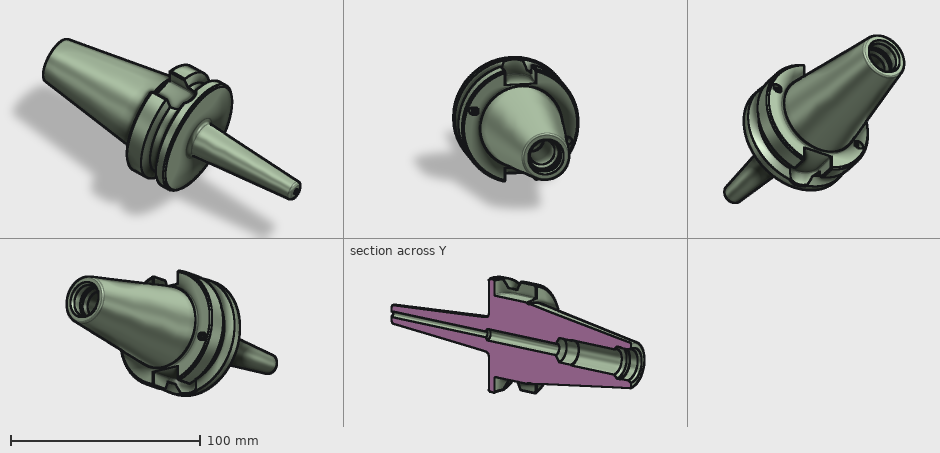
import cadquery as cq
import math


selection_margin = 0.08

taper_length = 65.5
taper_large_diameter = 44.5
taper_ratio = 7 / 24
taper_end_fillet = 1.0
neck_diameter = 44.0
neck_step = 0.3
neck_fillet = 0.6

flange_diameter = 63.0
flange_start = 67.3
flange_end = 92.5
flange_chamfer = 1.0
groove_start = 77.2
groove_end = 86.9
groove_bottom_diameter = 53.2
groove_flank_angle = 26.0

total_length = 155.4
nose_tip_diameter = 10.4
nose_root_diameter = 19.6
root_fillet = 2.2
tip_fillet = 1.7

slot_count = 2
slot_width = 16.2
slot_end = 88.5
slot_floor_height = 22.7
slot_floor_fillet = 0.5
slot_chamfer = 0.6

mouth_diameter = 19.1
pilot_diameter = 17.0
pilot_end = 7.0
relief_diameter = 17.5
relief_end = 9.2
thread_diameter = 13.8
thread_end = 38.9
deep_bore_diameter = 13.2
deep_bore_end = 46.6
mouth_angle = 60.0
countersink_angle = 90.0
drill_diameter = 6.0
drill_end = 93.2
through_diameter = 3.0
drill_point_angle = 118.0

coolant_circle_radius = 26.9
coolant_hole_angles = (20.3, 200.3)
coolant_tilt = 40.0
screw_diameter = 4.0
screw_length = 4.0
screw_face_diameter = 3.3
screw_recess = 1.4
socket_across_flats = 1.7
socket_depth = 1.5


def circle_at(x, diameter):
    """Selector for the circular edge about the X axis at `x` and no wider than `diameter`."""
    reach = diameter / 2 + selection_margin
    return cq.selectors.BoxSelector(
        (x - selection_margin, -reach, -reach),
        (x + selection_margin, reach, reach),
        boundingbox=True,
    )


def make_outer_shape():
    """Revolved outside of the holder, from the taper to the nose tip."""
    taper_large = taper_large_diameter / 2
    taper_small = taper_large - taper_length * taper_ratio / 2
    neck = neck_diameter / 2
    flange = flange_diameter / 2
    groove = groove_bottom_diameter / 2
    flank_run = (flange - groove) * math.tan(math.radians(groove_flank_angle))
    body = (
        cq.Workplane("XY")
        .polyline([
            (0, 0),
            (0, taper_small),
            (taper_length, taper_large),
            (taper_length + neck_step, neck),
            (flange_start, neck),
            (flange_start, flange - flange_chamfer),
            (flange_start + flange_chamfer, flange),
            (groove_start, flange),
            (groove_start + flank_run, groove),
            (groove_end - flank_run, groove),
            (groove_end, flange),
            (flange_end - flange_chamfer, flange),
            (flange_end, flange - flange_chamfer),
            (flange_end, nose_root_diameter / 2),
            (total_length, nose_tip_diameter / 2),
            (total_length, 0),
        ])
        .close()
        .revolve(360, (0, 0, 0), (1, 0, 0))
    )
    body = body.edges(circle_at(flange_end, nose_root_diameter)).fillet(root_fillet)
    body = body.edges(circle_at(flange_start, neck_diameter)).fillet(neck_fillet)
    body = body.faces("<X").edges().fillet(taper_end_fillet)
    return body.faces(">X").edges().fillet(tip_fillet)


def make_drive_slot():
    """Round-ended cutter for the upper drive slot, open at the front of the flange."""
    open_end = flange_start - slot_width / 2
    arc_centre = slot_end - slot_width / 2
    half_width = slot_width / 2
    return (
        cq.Workplane("XY", origin=(0, 0, slot_floor_height))
        .moveTo(open_end, -half_width)
        .lineTo(arc_centre, -half_width)
        .threePointArc((slot_end, 0), (arc_centre, half_width))
        .lineTo(open_end, half_width)
        .close()
        .extrude(flange_diameter / 2)
    )


def make_axial_bore():
    """Revolved cutter for the stepped bore through the whole length."""
    mouth = mouth_diameter / 2
    pilot = pilot_diameter / 2
    relief = relief_diameter / 2
    thread = thread_diameter / 2
    deep_bore = deep_bore_diameter / 2
    drill = drill_diameter / 2
    through = through_diameter / 2
    mouth_slope = math.tan(math.radians(mouth_angle / 2))
    sink_slope = math.tan(math.radians(countersink_angle / 2))
    point_slope = math.tan(math.radians(drill_point_angle / 2))
    return (
        cq.Workplane("XY")
        .polyline([
            (0, 0),
            (0, mouth),
            ((mouth - pilot) / mouth_slope, pilot),
            (pilot_end, pilot),
            (pilot_end, relief),
            (relief_end, relief),
            (relief_end + (relief - thread) / sink_slope, thread),
            (thread_end, thread),
            (thread_end, deep_bore),
            (deep_bore_end, deep_bore),
            (deep_bore_end + (deep_bore - drill) / point_slope, drill),
            (drill_end, drill),
            (drill_end + (drill - through) / point_slope, through),
            (total_length, through),
            (total_length, 0),
        ])
        .close()
        .revolve(360, (0, 0, 0), (1, 0, 0))
    )


def coolant_plane(angle, depth):
    """Plane square to a coolant hole, `depth` along its axis from the flange face."""
    tilt = math.radians(coolant_tilt)
    turn = math.radians(angle)
    outward = cq.Vector(0, math.cos(turn), math.sin(turn))
    direction = cq.Vector(math.cos(tilt), 0, 0) - outward * math.sin(tilt)
    mouth = cq.Vector(flange_start, 0, 0) + outward * coolant_circle_radius
    sideways = outward.cross(cq.Vector(1, 0, 0))
    return cq.Plane(mouth + direction * depth, sideways, direction)


def make_coolant_hole(angle):
    """Cutter for one slanted hole, ending where its set screw ends."""
    lead_in = screw_diameter
    return (
        cq.Workplane(coolant_plane(angle, -lead_in))
        .circle(screw_diameter / 2)
        .extrude(lead_in + screw_recess + screw_length)
    )


def make_set_screw(angle):
    """Headless screw with a hexagon socket in its outer end."""
    plane = coolant_plane(angle, screw_recess)
    socket = (
        cq.Workplane(plane)
        .polygon(6, socket_across_flats, circumscribed=True)
        .extrude(socket_depth)
    )
    screw = cq.Workplane(plane).circle(screw_diameter / 2).extrude(screw_length)
    outer_rim = cq.selectors.NearestToPointSelector(plane.origin.toTuple())
    screw = screw.faces(outer_rim).chamfer((screw_diameter - screw_face_diameter) / 2)
    return screw.cut(socket)


def finish_slot_edges(body):
    """Chamfer the upper slot's rims on the flange and fillet the foot of its wall."""
    reach = slot_width / 2 + selection_margin
    front = flange_start - selection_margin
    floor = slot_floor_height - selection_margin
    flange_top = flange_diameter / 2 + selection_margin
    front_rims = cq.selectors.BoxSelector(
        (front, -reach, floor),
        (groove_start + selection_margin, reach, flange_top),
        boundingbox=True,
    )
    rear_rim = cq.selectors.BoxSelector(
        (groove_end - selection_margin, -reach, floor),
        (slot_end + selection_margin, reach, flange_top),
        boundingbox=True,
    )
    wall_foot = cq.selectors.BoxSelector(
        (front, -reach, floor),
        (slot_end + selection_margin, reach, slot_floor_height + selection_margin),
        boundingbox=True,
    )
    body = body.edges(front_rims).edges("not |Y").chamfer(slot_chamfer)
    body = body.edges(rear_rim).chamfer(slot_chamfer)
    return body.edges(wall_foot).edges("not |Y").fillet(slot_floor_fillet)


def make_holder():
    """The tool holder with its slots, bore and coolant holes."""
    slot = make_drive_slot()
    body = make_outer_shape().cut(make_axial_bore())
    for _ in range(slot_count):
        body = finish_slot_edges(body.cut(slot))
        body = body.rotate((0, 0, 0), (1, 0, 0), 360 / slot_count)
    for angle in coolant_hole_angles:
        body = body.cut(make_coolant_hole(angle))
    return body


holder = make_holder()
set_screws = [make_set_screw(angle) for angle in coolant_hole_angles]

result = cq.Compound.makeCompound([holder.val(), *(screw.val() for screw in set_screws)])